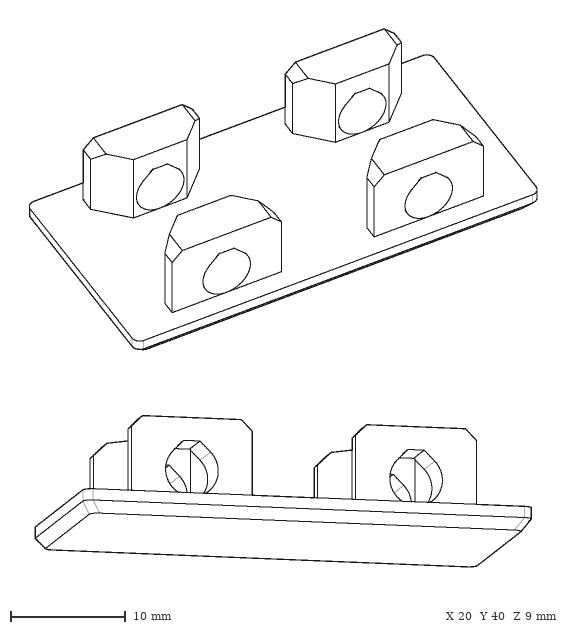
import cadquery as cq
import math

PLATE_X = 20.0
PLATE_Y = 40.0
PLATE_THICKNESS = 2.0
TAPER_HEIGHT = 1.0
TAPER_INSET = 0.75
CORNER_RADIUS = 0.75

TOTAL_HEIGHT = 9.0
POST_HEIGHT = TOTAL_HEIGHT - PLATE_THICKNESS
POST_OUTER_X = 8.1
POST_INNER_X = 4.0
POST_LENGTH = 10.8
POST_INNER_CHAMFER = 2.75
POST_TOP_CHAMFER = 1.0
POST_CENTER_Y = PLATE_Y / 4

HOLE_RADIUS = 2.35
HOLE_TOP_RISE = 2.6
HOLE_CENTER_Z = PLATE_THICKNESS + HOLE_RADIUS


def rounded_outline(inset, z):
    """Plate outline moved inward by the inset, at height z, with the common corner radius."""
    return (
        cq.Sketch()
        .rect(PLATE_X - 2 * inset, PLATE_Y - 2 * inset)
        .vertices()
        .fillet(CORNER_RADIUS)
        .moved(cq.Location(cq.Vector(0, 0, z)))
    )


def make_plate():
    """Straight-sided upper slab on a tapered lower slab."""
    bottom = rounded_outline(TAPER_INSET, 0)
    middle = rounded_outline(0, TAPER_HEIGHT)
    tapered = cq.Workplane("XY").placeSketch(bottom, middle).loft(ruled=True)
    straight = cq.Workplane("XY").placeSketch(middle).extrude(PLATE_THICKNESS - TAPER_HEIGHT)
    return tapered.union(straight)


def make_post():
    """Post on the +X side, centred on Y = 0, with beveled inner corners and beveled top ends."""
    half_length = POST_LENGTH / 2
    bevel_x = POST_INNER_X + POST_INNER_CHAMFER
    inner_half_length = half_length - POST_INNER_CHAMFER
    footprint = [
        (POST_OUTER_X, -half_length),
        (POST_OUTER_X, half_length),
        (bevel_x, half_length),
        (POST_INNER_X, inner_half_length),
        (POST_INNER_X, -inner_half_length),
        (bevel_x, -half_length),
    ]
    post = (
        cq.Workplane("XY")
        .workplane(offset=PLATE_THICKNESS)
        .polyline(footprint)
        .close()
        .extrude(POST_HEIGHT)
    )
    side_profile = (
        cq.Workplane("YZ")
        .center(0, PLATE_THICKNESS + POST_HEIGHT / 2)
        .rect(POST_LENGTH, POST_HEIGHT)
        .extrude(POST_OUTER_X)
        .edges("|X and >Z")
        .chamfer(POST_TOP_CHAMFER)
    )
    return post.intersect(side_profile).cut(make_hole())


def make_hole():
    """Cutter along X: a circle with 45 degree tangent sides meeting a flat roof."""
    tangent = HOLE_RADIUS * math.sqrt(0.5)
    roof_half_width = 2 * tangent - HOLE_TOP_RISE
    return (
        cq.Workplane("YZ")
        .center(0, HOLE_CENTER_Z)
        .moveTo(tangent, tangent)
        .lineTo(roof_half_width, HOLE_TOP_RISE)
        .lineTo(-roof_half_width, HOLE_TOP_RISE)
        .lineTo(-tangent, tangent)
        .threePointArc((0, -HOLE_RADIUS), (tangent, tangent))
        .close()
        .extrude(POST_OUTER_X)
    )


def make_part():
    """Plate with a mirrored pair of posts at each Y position."""
    post = make_post()
    post_pair = post.union(post.mirror("YZ"))
    part = make_plate()
    for y in (-POST_CENTER_Y, POST_CENTER_Y):
        part = part.union(post_pair.translate((0, y, 0)))
    return part


result = make_part()